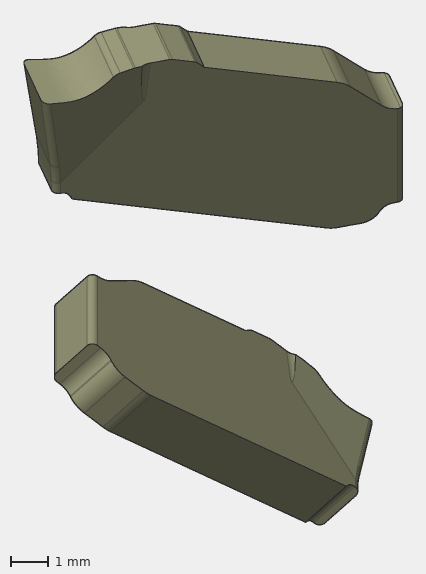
import cadquery as cq
import math


length = 10.19
height = 6.85
body_width = 1.62
cutting_width = 2.0

edge_height = 6.26
flank_angle = 7.0
flank_bottom = 3.88
front_bottom = 2.92
notch_y = 0.88
notch_angle = 60.0
notch_radius = 0.25

clamp_angle = 20.0
step_angle = 45.0
underside_start = 2.65
underside_radius = 0.8
tail_bottom = 0.5
tail_top = 3.72
tail_lower_angle = 57.0
tail_lower_foot_y = 9.63
tail_lower_inner_radius = 0.45
tail_lower_outer_radius = 0.6
tail_upper_angle = 44.0
tail_upper_foot_y = 9.77
tail_upper_inner_radius = 0.78
shoulder_radius = 1.05

head_rear_y = 3.65
head_rear_radius = 0.2
head_step_y = 4.35
head_step_radius = 0.15
head_step_run = 0.23
land_y = 2.6
land_angle = 9.0
land_radius = 0.3
crest_y = 2.08
crest_radius = 0.35
groove_floor_y = 1.0
groove_floor_z = 6.15
groove_exit_angle = 8.0

hinge_top_y = 2.92
hinge_top_z = 5.63
hinge_angle = 44.6
flare_angle = 4.7
runout_radius = 0.46
runout_tilt = 7.0

corner_radius = 0.2

tool_size = 20.0
clearance = 0.01


def slope(angle):
    return math.tan(math.radians(angle))


def toward(start, end, distance):
    """Point at a distance from start on the way to end."""
    span = math.dist(start, end)
    return tuple(a + (b - a) * distance / span for a, b in zip(start, end))


arc_span = flank_bottom - front_bottom
flank_end_y = (edge_height - flank_bottom) * slope(flank_angle)
front_y = flank_end_y + arc_span * slope(flank_angle / 2)


def rounded_corner(path, before, corner, after, radius):
    """Continue the path up to a corner and round it; a zero radius keeps it sharp."""
    if radius == 0:
        return path.lineTo(*corner)
    to_before = math.atan2(before[1] - corner[1], before[0] - corner[0])
    to_after = math.atan2(after[1] - corner[1], after[0] - corner[0])
    half_angle = math.acos(math.cos(to_before - to_after)) / 2
    setback = radius / math.tan(half_angle)
    arc_start = toward(corner, before, setback)
    arc_end = toward(corner, after, setback)
    chord_middle = tuple((a + b) / 2 for a, b in zip(arc_start, arc_end))
    arc_middle = toward(corner, chord_middle, radius / math.sin(half_angle) - radius)
    return path.lineTo(*arc_start).threePointArc(arc_middle, arc_end)


def outline():
    """Closed side outline, from the cutting edge round the underside, well beyond -X."""
    tip = (0, edge_height)
    flank_end = (flank_end_y, flank_bottom)
    front_foot = (front_y, front_bottom)
    flank_arc_radius = arc_span / math.sin(math.radians(flank_angle))
    half_turn = math.radians(flank_angle / 2)
    flank_arc_middle = (
        front_y - flank_arc_radius * (1 - math.cos(half_turn)),
        front_bottom + flank_arc_radius * math.sin(half_turn),
    )

    notch_top = (notch_y - (front_bottom - underside_start) / slope(notch_angle), front_bottom)
    underside_end_y = notch_y + underside_start / slope(clamp_angle)
    tail_lower_top_y = tail_lower_foot_y - tail_bottom / slope(tail_lower_angle)

    head_step_z = height - (head_step_y - head_rear_y) * slope(clamp_angle)
    seat_front_y = head_step_y + head_step_run
    seat_front_z = head_step_z - head_step_run * slope(step_angle)
    rise = tail_top - seat_front_z + (tail_upper_foot_y - seat_front_y) * slope(tail_upper_angle)
    shoulder_run = rise / (slope(tail_upper_angle) - slope(clamp_angle))
    shoulder = (seat_front_y + shoulder_run, seat_front_z - shoulder_run * slope(clamp_angle))

    crest = (crest_y, height - (land_y - crest_y) * slope(land_angle))
    groove_direction = (crest_y - 1, crest[1] - slope(step_angle))

    corners = [
        (notch_top, notch_radius),
        ((notch_y, underside_start), 0),
        ((underside_end_y, 0), underside_radius),
        ((tail_lower_top_y, 0), tail_lower_outer_radius),
        ((tail_lower_foot_y, tail_bottom), tail_lower_inner_radius),
        ((length, tail_bottom), 0),
        ((length, tail_top), 0),
        ((tail_upper_foot_y, tail_top), tail_upper_inner_radius),
        (shoulder, shoulder_radius),
        ((seat_front_y, seat_front_z), 0),
        ((head_step_y, head_step_z), head_step_radius),
        ((head_rear_y, height), head_rear_radius),
        ((land_y, height), land_radius),
        (crest, crest_radius),
    ]
    path = cq.Workplane("YZ", origin=(-cutting_width, 0, 0)).moveTo(*tip).lineTo(*flank_end)
    path = path.threePointArc(flank_arc_middle, front_foot)
    points = [front_foot] + [point for point, _ in corners] + [groove_direction]
    for index, (corner, radius) in enumerate(corners):
        path = rounded_corner(path, points[index], corner, points[index + 2], radius)

    path = path.spline(
        [(groove_floor_y, groove_floor_z), tip],
        tangents=[(-1, -slope(step_angle)), (-1, slope(groove_exit_angle))],
        includeCurrent=True,
    )
    return path.close()


def flare():
    """Side pad on +X that thickens away from a sloping hinge line on the blade face."""
    hinge_plane = cq.Plane(
        origin=(body_width / 2, hinge_top_y, hinge_top_z),
        xDir=(1, 0, 0),
        normal=(0, -math.cos(math.radians(hinge_angle)), -math.sin(math.radians(hinge_angle))),
    )
    root_depth = body_width / 4
    wedge_corners = [
        (-root_depth, 0),
        (0, 0),
        (tool_size * slope(flare_angle), tool_size),
        (-root_depth, tool_size),
    ]
    wedge = (
        cq.Workplane(hinge_plane)
        .polyline(wedge_corners)
        .close()
        .extrude(tool_size / 2, both=True)
    )
    tilt = math.radians(runout_tilt)
    runout_plane = cq.Plane(
        origin=(body_width / 2, hinge_top_y, hinge_top_z),
        xDir=(1, 0, 0),
        normal=(0, math.sin(tilt), math.cos(tilt)),
    )
    runout = cq.Workplane(runout_plane).center(runout_radius, 0).circle(runout_radius)
    behind = cq.Workplane(runout_plane).center(0, tool_size / 2).rect(tool_size, tool_size)
    for cutter in (behind, runout):
        wedge = wedge.cut(cutter.extrude(tool_size / 2, both=True))
    return wedge


def flared_plate():
    """Oversized plate of the blade thickness with a flare on both sides."""
    right_flare = flare()
    plate = cq.Workplane().box(body_width, 2 * tool_size, 2 * tool_size)
    return plate.union(right_flare).union(right_flare.mirror("YZ"))


def round_end_corners(solid, y_from, y_to):
    """Round the corner edges of both side faces lying between two Y positions."""
    face_x = body_width / 2
    for inner_x, outer_x in ((face_x, cutting_width), (-cutting_width, -face_x)):
        corner_zone = cq.selectors.BoxSelector(
            (inner_x - clearance, y_from - clearance, 0),
            (outer_x + clearance, y_to + clearance, height),
            boundingbox=True,
        )
        solid = solid.edges(corner_zone).fillet(corner_radius)
    return solid


insert = outline().extrude(2 * cutting_width).intersect(flared_plate())
insert = round_end_corners(insert, 0, front_y)
result = round_end_corners(insert, length, length)